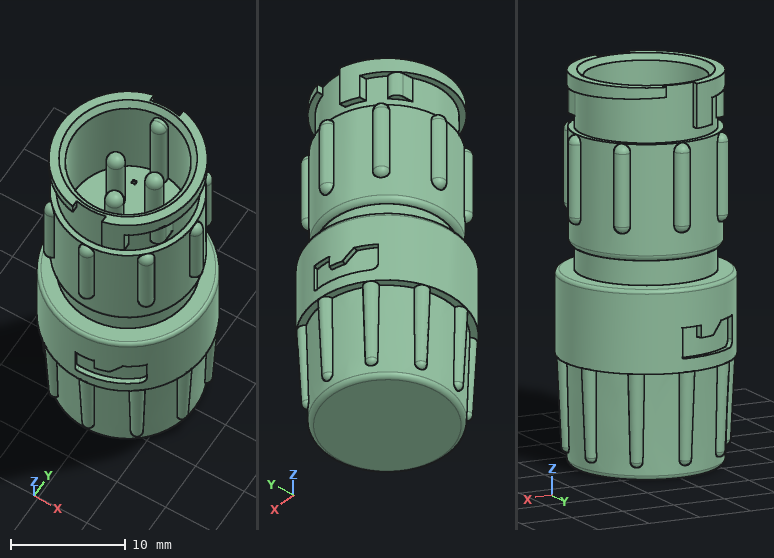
import math

import cadquery as cq

TOTAL_HEIGHT = 35.43
CAP_BOTTOM_Z = 9.87
CAP_TOP_Z = 17.47
SLEEVE_BOTTOM_Z = 19.7
SLEEVE_TOP_Z = 30.3

SHELL_RADIUS = 6.3
BORE_RADIUS = 5.5
BORE_CHAMFER = 0.55
SOCKET_DEPTH = 10.0
SOCKET_FLOOR_Z = TOTAL_HEIGHT - SOCKET_DEPTH

PIN_COUNT = 3
PIN_RADIUS = 0.83
PIN_CIRCLE_RADIUS = 2.3
PIN_TIP_Z = 32.55
KEY_RADIUS = 0.78
KEY_CENTER_Y = 5.15
KEY_TIP_Z = 34.45
KEY_ROOT_DEPTH = 0.5
DIMPLE_X = -1.57
DIMPLE_Y = 3.55
DIMPLE_WIDTH = 0.35
DIMPLE_DEPTH = 0.2

RIM_RADIUS = 6.95
RIM_ROOT_OVERLAP = 0.3
RIM_THICK_END = 1.78
RIM_THIN_END = 0.83
SLOT_WIDTH = 3.0
TAB_END_X = 3.37
TAB_HEIGHT = 4.04
STOP_FACE_X = 5.92
STOP_RADIUS = 0.84
STOP_CENTER_Y = 3.28
STOP_INNER_Y = 2.15

SLEEVE_RADIUS = 6.85
SLEEVE_FILLET = 0.6
SLEEVE_RIB_COUNT = 8
SLEEVE_RIB_RADIUS = 0.75
SLEEVE_RIB_AXIS_RADIUS = 6.83
SLEEVE_RIB_BOTTOM_Z = 22.95
SLEEVE_RIB_TOP_Z = 29.54

CAP_RADIUS = 8.0
CAP_FILLET = 0.35
RECESS_ANGLE = 20.0
RECESS_FLOOR_RADIUS = 7.5
RECESS_WIDTH = 6.4
RECESS_BOTTOM_Z = 11.1
RECESS_TOP_Z = 13.9
TOOTH_BOTTOM_Z = 12.77
TOOTH_WIDTH = 1.4
RECESS_LARGE_CORNER = 0.65
RECESS_SMALL_CORNER = 0.2

NUT_TOP_RADIUS = 7.25
NUT_BOTTOM_RADIUS = 6.95
NUT_FILLET = 0.5
NUT_RIB_COUNT = 10
NUT_RIB_OFFSET = RECESS_ANGLE - 180 / NUT_RIB_COUNT
NUT_RIB_TOP_RADIUS = 0.73
NUT_RIB_OVERLAP = 0.15
NUT_RIB_BOTTOM_RADIUS = 0.56
NUT_RIB_BOTTOM_Z = 1.77

CUT_CLEARANCE = 0.5

Z_AXIS = cq.Vector(0, 0, 1)


def cylinder(radius, bottom_z, top_z, x=0.0, y=0.0):
    return cq.Workplane("XY", origin=(x, y, bottom_z)).circle(radius).extrude(top_z - bottom_z)


def ball(radius, x, y, z):
    return cq.Workplane("XY", origin=(x, y, z)).sphere(radius)


def block(x_range, y_range, z_range):
    """Box spanning the given (low, high) pair along each axis."""
    sizes = [high - low for low, high in (x_range, y_range, z_range)]
    corner = (x_range[0], y_range[0], z_range[0])
    return cq.Workplane("XY", origin=corner).box(*sizes, centered=False)


def turned(shape, angle):
    """Shape rotated about the part's axis."""
    return shape.rotate((0, 0, 0), (0, 0, 1), angle)


def make_nut():
    nut = (
        cq.Workplane("XZ")
        .polyline([(0, 0), (NUT_BOTTOM_RADIUS, 0), (NUT_TOP_RADIUS, CAP_BOTTOM_Z), (0, CAP_BOTTOM_Z)])
        .close()
        .revolve(360, (0, 0, 0), (0, 1, 0))
        .faces("<Z")
        .edges()
        .fillet(NUT_FILLET)
    )
    rib = make_nut_rib()
    for index in range(NUT_RIB_COUNT):
        nut = nut.union(turned(rib, NUT_RIB_OFFSET + index * 360 / NUT_RIB_COUNT))
    return nut


def make_nut_rib():
    """Tapered round rib on the -Y side, domed below, its root inside the cap."""
    taper = (NUT_TOP_RADIUS - NUT_BOTTOM_RADIUS) / CAP_BOTTOM_Z
    end_y = -(NUT_BOTTOM_RADIUS + taper * NUT_RIB_BOTTOM_Z)
    root_z = CAP_BOTTOM_Z + NUT_RIB_OVERLAP
    root_y = -(NUT_BOTTOM_RADIUS + taper * root_z)
    start = cq.Vector(0, end_y, NUT_RIB_BOTTOM_Z)
    axis = cq.Vector(0, root_y, root_z) - start
    cone = cq.Solid.makeCone(NUT_RIB_BOTTOM_RADIUS, NUT_RIB_TOP_RADIUS, axis.Length, start, axis)
    return cq.Workplane(cone).union(ball(NUT_RIB_BOTTOM_RADIUS, 0, end_y, NUT_RIB_BOTTOM_Z))


def make_cap():
    cap = cylinder(CAP_RADIUS, CAP_BOTTOM_Z, CAP_TOP_Z).faces(">Z").edges().fillet(CAP_FILLET)
    recess = make_recess_cutter()
    for angle in (RECESS_ANGLE, RECESS_ANGLE + 180):
        cap = cap.cut(turned(recess, angle))
    return cap


def make_recess_cutter():
    """J-shaped window on the -Y side, with a tooth hanging from its top edge."""
    half_width = RECESS_WIDTH / 2
    tooth_height = RECESS_TOP_Z - TOOTH_BOTTOM_Z
    outline = [
        (-half_width, RECESS_BOTTOM_Z),
        (half_width, RECESS_BOTTOM_Z),
        (half_width, RECESS_TOP_Z),
        (tooth_height, RECESS_TOP_Z),
        (0, TOOTH_BOTTOM_Z),
        (-TOOTH_WIDTH, TOOTH_BOTTOM_Z),
        (-TOOTH_WIDTH, RECESS_TOP_Z),
        (-half_width, RECESS_TOP_Z),
    ]
    window = cq.Workplane("XZ").polyline(outline).close().extrude(CAP_RADIUS + CUT_CLEARANCE)
    window = window.edges("|Y").edges("<Z").edges(">X").fillet(RECESS_LARGE_CORNER)
    window = window.edges("|Y").edges("<X").edges("<Z").fillet(RECESS_SMALL_CORNER)
    return window.cut(cylinder(RECESS_FLOOR_RADIUS, CAP_BOTTOM_Z, CAP_TOP_Z))


def make_sleeve():
    sleeve = cylinder(SLEEVE_RADIUS, SLEEVE_BOTTOM_Z, SLEEVE_TOP_Z)
    sleeve = sleeve.faces("<Z").edges().fillet(SLEEVE_FILLET)
    rib = cylinder(SLEEVE_RIB_RADIUS, SLEEVE_RIB_BOTTOM_Z, SLEEVE_RIB_TOP_Z, y=-SLEEVE_RIB_AXIS_RADIUS)
    for end_z in (SLEEVE_RIB_BOTTOM_Z, SLEEVE_RIB_TOP_Z):
        rib = rib.union(ball(SLEEVE_RIB_RADIUS, 0, -SLEEVE_RIB_AXIS_RADIUS, end_z))
    for index in range(SLEEVE_RIB_COUNT):
        sleeve = sleeve.union(turned(rib, index * 360 / SLEEVE_RIB_COUNT))
    return sleeve


def make_ramp_cutter():
    """Helical band below the ramp, turning half a turn counterclockwise from the -Y side."""
    rise = RIM_THICK_END - RIM_THIN_END
    band_inner = SHELL_RADIUS - 2 * RIM_ROOT_OVERLAP
    band_outer = RIM_RADIUS + CUT_CLEARANCE
    band_outline = [(band_inner, 0), (band_outer, 0), (band_outer, -TAB_HEIGHT), (band_inner, -TAB_HEIGHT)]
    helix = cq.Wire.makeHelix(2 * rise, rise, SHELL_RADIUS)
    band = (
        cq.Workplane("XZ")
        .polyline(band_outline)
        .close()
        .sweep(cq.Workplane(helix), isFrenet=True)
    )
    return turned(band, -90).translate((0, 0, TOTAL_HEIGHT - RIM_THICK_END))


def make_half_rim():
    """Rim on the +X side: ramp, end tab beside the -Y slot, and rounded stop."""
    tab_bottom_z = TOTAL_HEIGHT - TAB_HEIGHT
    slot_edge = SLOT_WIDTH / 2
    z_range = (tab_bottom_z, TOTAL_HEIGHT)

    rim = cylinder(RIM_RADIUS, tab_bottom_z, TOTAL_HEIGHT)
    rim = rim.cut(cylinder(SHELL_RADIUS - RIM_ROOT_OVERLAP, tab_bottom_z, TOTAL_HEIGHT))
    rim = rim.intersect(block((slot_edge, RIM_RADIUS), (-RIM_RADIUS, RIM_RADIUS), z_range))
    tab_space = block((0, TAB_END_X), (-2 * RIM_RADIUS, 0), (0, TOTAL_HEIGHT))
    rim = rim.cut(make_ramp_cutter().cut(tab_space))

    stop_top_z = TOTAL_HEIGHT - RIM_THIN_END
    stop_center_x = STOP_FACE_X - STOP_RADIUS
    stop = cylinder(STOP_RADIUS, tab_bottom_z, stop_top_z, stop_center_x, -STOP_CENTER_Y)
    stop = stop.union(
        block((stop_center_x, STOP_FACE_X), (-STOP_CENTER_Y, -STOP_INNER_Y), (tab_bottom_z, stop_top_z))
    )
    return rim.union(stop)


def make_shell():
    shell = cylinder(SHELL_RADIUS, CAP_TOP_Z, TOTAL_HEIGHT)
    half_rim = make_half_rim()
    return shell.union(half_rim).union(turned(half_rim, 180))


def make_socket_cutter():
    """Bore with a chamfered mouth and a small square dimple in its floor."""
    bore = cylinder(BORE_RADIUS, SOCKET_FLOOR_Z, TOTAL_HEIGHT)
    mouth = cq.Solid.makeCone(
        BORE_RADIUS,
        BORE_RADIUS + BORE_CHAMFER,
        BORE_CHAMFER,
        cq.Vector(0, 0, TOTAL_HEIGHT - BORE_CHAMFER),
        Z_AXIS,
    )
    dimple = cq.Workplane("XY", origin=(DIMPLE_X, DIMPLE_Y, SOCKET_FLOOR_Z))
    dimple = dimple.rect(DIMPLE_WIDTH, DIMPLE_WIDTH).extrude(-DIMPLE_DEPTH)
    return bore.union(cq.Workplane(mouth)).union(dimple)


def make_pins():
    """Domed contact pins, the first on the -Y side."""
    dome_z = PIN_TIP_Z - PIN_RADIUS
    pins = cq.Workplane("XY")
    for index in range(PIN_COUNT):
        angle = math.radians(-90 + index * 360 / PIN_COUNT)
        x = PIN_CIRCLE_RADIUS * math.cos(angle)
        y = PIN_CIRCLE_RADIUS * math.sin(angle)
        pin = cylinder(PIN_RADIUS, SOCKET_FLOOR_Z, dome_z, x, y).union(ball(PIN_RADIUS, x, y, dome_z))
        pins = pins.add(pin)
    return pins.combine()


def make_key():
    """Round-nosed key running down the +Y side of the socket, its rounded top reaching the wall."""
    dome_z = KEY_TIP_Z - KEY_RADIUS
    key = cylinder(KEY_RADIUS, SOCKET_FLOOR_Z, dome_z, y=KEY_CENTER_Y)
    key = key.union(ball(KEY_RADIUS, 0, KEY_CENTER_Y, dome_z))
    wall_link_length = SHELL_RADIUS - KEY_CENTER_Y
    ridge = cq.Solid.makeCylinder(
        KEY_RADIUS, wall_link_length, cq.Vector(0, KEY_CENTER_Y, dome_z), cq.Vector(0, 1, 0)
    )
    key = key.union(cq.Workplane(ridge))
    key = key.union(
        block((-KEY_RADIUS, KEY_RADIUS), (KEY_CENTER_Y, SHELL_RADIUS), (SOCKET_FLOOR_Z, dome_z))
    )
    return key.intersect(cylinder(BORE_RADIUS + KEY_ROOT_DEPTH, SOCKET_FLOOR_Z, TOTAL_HEIGHT))


body = make_nut().union(make_cap()).union(make_shell()).union(make_sleeve())
result = body.cut(make_socket_cutter()).union(make_pins()).union(make_key())